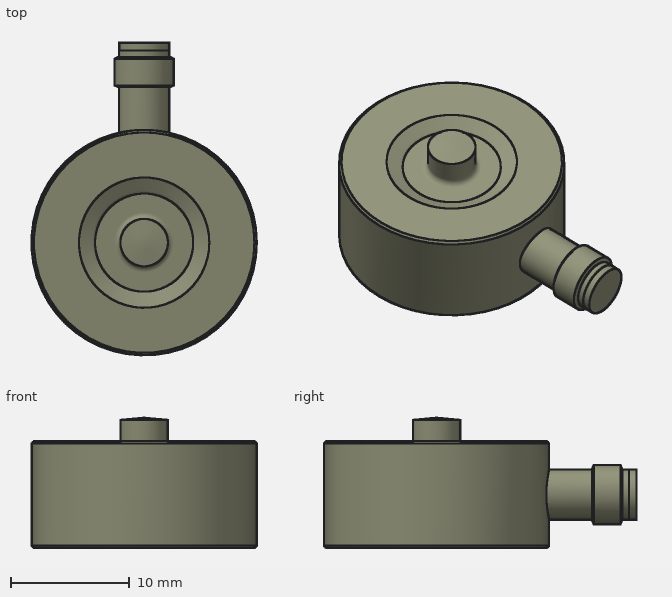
import cadquery as cq

body_diameter = 19.0
body_height = 9.02
body_chamfer = 0.2

recess_top_diameter = 11.0
recess_bottom_diameter = 8.65
recess_cone_depth = 0.53
floor_diameter = 8.28
floor_depth = 0.63

pin_diameter = 4.0
pin_foot_diameter = 5.0
pin_foot_fillet = (pin_foot_diameter - pin_diameter) / 2
overall_height = 11.0
pin_tip_height = 0.18

connector_height = body_height / 2
connector_end = 16.87
stem_diameter = 4.27
end_diameter = 4.25
end_length = 0.65
collar_diameter = 5.0
collar_start = 13.1
collar_end = 15.65
collar_taper_length = 0.15


def make_body():
    """Chamfered disc with the recess and the pin, as one turned profile."""
    radius = body_diameter / 2
    pin_radius = pin_diameter / 2
    floor_height = body_height - floor_depth
    profile = (
        cq.Workplane("XZ")
        .lineTo(radius - body_chamfer, 0)
        .lineTo(radius, body_chamfer)
        .lineTo(radius, body_height - body_chamfer)
        .lineTo(radius - body_chamfer, body_height)
        .lineTo(recess_top_diameter / 2, body_height)
        .lineTo(recess_bottom_diameter / 2, body_height - recess_cone_depth)
        .lineTo(floor_diameter / 2, floor_height)
        .lineTo(pin_foot_diameter / 2, floor_height)
        .radiusArc((pin_radius, floor_height + pin_foot_fillet), pin_foot_fillet)
        .lineTo(pin_radius, overall_height - pin_tip_height)
        .lineTo(0, overall_height)
        .close()
    )
    return profile.revolve(360, (0, 0, 0), (0, 1, 0))


def rod(diameter, start, end):
    """Cylinder along +Y on the connector axis."""
    plane = cq.Workplane("XZ", origin=(0, start, connector_height))
    return plane.circle(diameter / 2).extrude(start - end)


def make_collar():
    """Ring around the stem, tapering down to the stem surface at both ends."""
    stem_radius = stem_diameter / 2
    profile = (
        cq.Workplane("YZ", origin=(0, 0, connector_height))
        .moveTo(collar_start, 0)
        .lineTo(collar_start, stem_radius)
        .lineTo(collar_start + collar_taper_length, collar_diameter / 2)
        .lineTo(collar_end - collar_taper_length, collar_diameter / 2)
        .lineTo(collar_end, stem_radius)
        .lineTo(collar_end, 0)
        .close()
    )
    return profile.revolve(360, (0, 0, 0), (1, 0, 0))


def make_connector():
    """Stem from inside the body, tapered collar and narrower end."""
    stem = rod(stem_diameter, 0, connector_end - end_length)
    collar = make_collar()
    end = rod(end_diameter, collar_end, connector_end)
    return stem.union(collar).union(end)


result = make_body().union(make_connector())